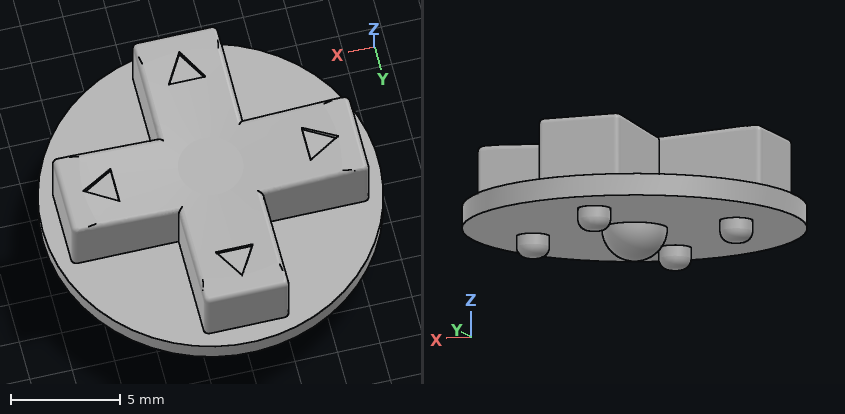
import cadquery as cq
disc_diameter = 15.8
disc_thickness = 1.0

cross_span = 14.0
arm_width = 4.0
cross_height = 3.0
edge_radius = 0.25
cross_top = disc_thickness + cross_height

blank_height = 2 * cross_height

dish_radius = 6.0
dish_floor_radius = 1.5
dish_depth = 0.25
dish_slope = dish_depth / (dish_radius - dish_floor_radius)

arrow_height = 1.5
arrow_half_base = arrow_height / 3**0.5
arrow_depth = 0.25

dome_radius = 1.5
pin_diameter = 1.5
pin_length = 1.0
pin_tip_radius = 0.5
pin_circle_radius = 5.0

seam_angle = 12

tolerance = 0.001

arm_angles = (0, 90, 180, 270)


def make_disc():
    return cq.Workplane("XY").circle(disc_diameter / 2).extrude(disc_thickness)


def make_dish_cutter():
    """Everything above the dish, whose cone runs on past the ends of the arms."""
    outer_radius = cross_span
    floor_z = cross_top - dish_depth
    outer_z = floor_z + dish_slope * (outer_radius - dish_floor_radius)
    cutter_top = disc_thickness + blank_height
    return (
        cq.Workplane("XZ")
        .moveTo(0, floor_z)
        .lineTo(dish_floor_radius, floor_z)
        .lineTo(outer_radius, outer_z)
        .lineTo(outer_radius, cutter_top)
        .lineTo(0, cutter_top)
        .close()
        .revolve(360, (0, 0, 0), (0, 1, 0))
        .rotate((0, 0, 0), (0, 0, 1), seam_angle)
    )


def is_long_edge(edge):
    """True for the top edges along the arms and the upright corners at the arm ends."""
    center = edge.Center()
    reach = max(abs(center.x), abs(center.y))
    spread = min(abs(center.x), abs(center.y))
    on_arm_side = abs(spread - arm_width / 2) < tolerance and reach > arm_width / 2 + tolerance
    return on_arm_side and center.z > disc_thickness + tolerance


def is_tip_edge(edge):
    """True for the edges where the flat arm tips meet the end faces and their corners."""
    center = edge.Center()
    reach = max(abs(center.x), abs(center.y))
    at_arm_end = reach > cross_span / 2 - edge_radius
    return at_arm_end and abs(center.z - cross_top) < tolerance


def round_edges(body, is_chosen):
    chosen_edges = [edge for edge in body.edges().vals() if is_chosen(edge)]
    return body.newObject(chosen_edges).fillet(edge_radius)


def make_cross():
    """Dished cross whose rounded arm edges run out into the flat arm tips."""
    base = cq.Workplane("XY").workplane(offset=disc_thickness)
    cross = base.rect(cross_span, arm_width).extrude(blank_height)
    cross = cross.union(base.rect(arm_width, cross_span).extrude(blank_height))
    cross = cross.cut(make_dish_cutter())
    cross = round_edges(cross, is_long_edge)

    cross = cross.intersect(base.rect(2 * cross_span, 2 * cross_span).extrude(cross_height))
    return round_edges(cross, is_tip_edge)


def make_arrow_cutter(angle):
    """Triangle pointing outwards along the arm at the given angle."""
    base_x = dish_radius - arrow_height
    return (
        cq.Workplane("XY")
        .workplane(offset=cross_top - arrow_depth)
        .moveTo(dish_radius, 0)
        .lineTo(base_x, arrow_half_base)
        .lineTo(base_x, -arrow_half_base)
        .close()
        .extrude(cross_height)
        .rotate((0, 0, 0), (0, 0, 1), angle)
    )


def make_dome():
    """Ball centred on the underside; its upper half is buried in the disc and the cross."""
    return cq.Workplane("XY").sphere(dome_radius)


def make_pin(angle):
    return (
        cq.Workplane("XY")
        .center(pin_circle_radius, 0)
        .circle(pin_diameter / 2)
        .extrude(-pin_length)
        .faces("<Z")
        .edges()
        .fillet(pin_tip_radius)
        .rotate((0, 0, 0), (0, 0, 1), angle)
    )


cross = make_cross()
for arm_angle in arm_angles:
    cross = cross.cut(make_arrow_cutter(arm_angle))

result = make_disc().union(cross).union(make_dome())
for arm_angle in arm_angles:
    result = result.union(make_pin(arm_angle))